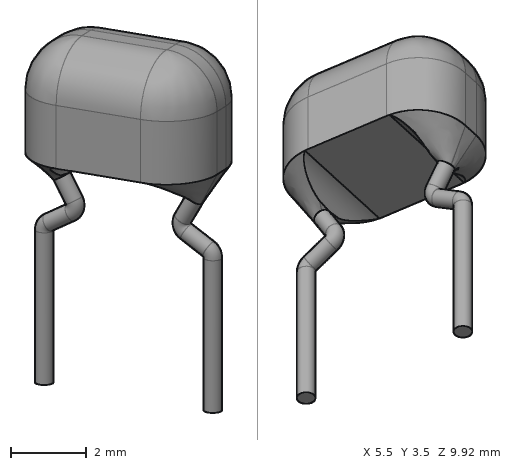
import cadquery as cq
import math

HOUSING_LENGTH = 5.5
HOUSING_WIDTH = 3.5
HOUSING_BOTTOM = 6.67
HOUSING_TOP = 9.92
CORNER_RADIUS = 1.5
DOME_RADIUS = 1.49

WIRE_DIAMETER = 0.5
WIRE_RADIUS = WIRE_DIAMETER / 2
LEAD_X = (HOUSING_LENGTH - WIRE_DIAMETER) / 2
BEND_RADIUS = 0.26
LEG_LENGTH = 4.25
INWARD_LENGTH = 0.76
OUTWARD_LENGTH = 0.71
INWARD_LEAN = math.radians(60)
OUTWARD_LEAN = math.radians(30)

INNER_ARC_SPAN = math.radians(60)
OUTER_ARC_SPAN = math.radians(20)
HOLLOW_MID = (-1.65, 6.43)
HOLLOW_TOP_X = -1.35


def move(point, distance, lean):
    """Step along a direction that leans from vertical towards +X, in the XZ plane."""
    return (point[0] + distance * math.sin(lean), point[1] + distance * math.cos(lean))


def bend(point, lean_in, lean_out):
    """Return the middle and end of a tangent bend between two leaning directions."""
    side = 1 if lean_out > lean_in else -1
    center = move(point, BEND_RADIUS, lean_in + side * math.pi / 2)
    lean_mid = (lean_in + lean_out) / 2
    middle = move(center, BEND_RADIUS, lean_mid - side * math.pi / 2)
    end = move(center, BEND_RADIUS, lean_out - side * math.pi / 2)
    return middle, end


leg_top = (-LEAD_X, LEG_LENGTH)
lower_mid, lower_end = bend(leg_top, 0, INWARD_LEAN)
upper_start = move(lower_end, INWARD_LENGTH, INWARD_LEAN)
upper_mid, upper_end = bend(upper_start, INWARD_LEAN, -OUTWARD_LEAN)
lead_end = move(upper_end, OUTWARD_LENGTH, -OUTWARD_LEAN)


def make_left_lead():
    axis = (
        cq.Workplane("XZ")
        .moveTo(-LEAD_X, 0)
        .lineTo(*leg_top)
        .threePointArc(lower_mid, lower_end)
        .lineTo(*upper_start)
        .threePointArc(upper_mid, upper_end)
        .lineTo(*lead_end)
    )
    return cq.Workplane("XY").center(-LEAD_X, 0).circle(WIRE_RADIUS).sweep(axis)


def make_block():
    return (
        cq.Workplane("XY", origin=(0, 0, HOUSING_BOTTOM))
        .rect(HOUSING_LENGTH, HOUSING_WIDTH)
        .extrude(HOUSING_TOP - HOUSING_BOTTOM)
        .edges("|Z")
        .fillet(CORNER_RADIUS)
        .faces(">Z")
        .edges()
        .fillet(DOME_RADIUS)
    )


def skirt_base():
    """Rounded end of the housing outline, closed by a straight chord."""
    chord_x = CORNER_RADIUS - HOUSING_LENGTH / 2
    side_y = HOUSING_WIDTH / 2
    flat_y = side_y - CORNER_RADIUS
    diagonal = CORNER_RADIUS * math.sqrt(0.5)
    arc_mid_x = chord_x - diagonal
    arc_mid_y = flat_y + diagonal
    return (
        cq.Workplane("XY", origin=(0, 0, HOUSING_BOTTOM))
        .moveTo(chord_x, -side_y)
        .lineTo(chord_x, side_y)
        .threePointArc((arc_mid_x, arc_mid_y), (-HOUSING_LENGTH / 2, flat_y))
        .lineTo(-HOUSING_LENGTH / 2, -flat_y)
        .threePointArc((arc_mid_x, -arc_mid_y), (chord_x, -side_y))
        .close()
        .val()
    )


def skirt_tip():
    """Wire end circle in four arcs, one for each edge of the skirt base."""
    plane = cq.Plane(
        origin=(lead_end[0], 0, lead_end[1]),
        xDir=(math.cos(OUTWARD_LEAN), 0, math.sin(OUTWARD_LEAN)),
        normal=(-math.sin(OUTWARD_LEAN), 0, math.cos(OUTWARD_LEAN)),
    )

    def rim(angle):
        return (WIRE_RADIUS * math.cos(angle), WIRE_RADIUS * math.sin(angle))

    outer_start = math.pi - OUTER_ARC_SPAN
    side_mid = (INNER_ARC_SPAN + outer_start) / 2
    return (
        cq.Workplane(plane)
        .moveTo(*rim(-INNER_ARC_SPAN))
        .threePointArc(rim(0), rim(INNER_ARC_SPAN))
        .threePointArc(rim(side_mid), rim(outer_start))
        .threePointArc(rim(math.pi), rim(-outer_start))
        .threePointArc(rim(-side_mid), rim(-INNER_ARC_SPAN))
        .close()
        .val()
    )


def make_left_skirt():
    taper = cq.Solid.makeLoft([skirt_base(), skirt_tip()], True)
    inner_rim = move(lead_end, WIRE_RADIUS, math.pi / 2 - OUTWARD_LEAN)
    hollow = (
        cq.Workplane("XZ")
        .moveTo(*inner_rim)
        .threePointArc(HOLLOW_MID, (HOLLOW_TOP_X, HOUSING_BOTTOM))
        .lineTo(0, HOUSING_BOTTOM)
        .lineTo(0, inner_rim[1])
        .close()
        .extrude(HOUSING_WIDTH / 2, both=True)
    )
    return cq.Workplane("XY").add(taper).cut(hollow)


def make_housing():
    left_skirt = make_left_skirt()
    return make_block().union(left_skirt).union(left_skirt.mirror("YZ"))


def make_leads():
    left_lead = make_left_lead()
    leads = []
    for turn in (0, 180):
        leads.append(left_lead.rotate((0, 0, 0), (0, 0, 1), turn).val())
    return leads


housing = make_housing()
leads = make_leads()

result = cq.Compound.makeCompound([housing.val(), *leads])